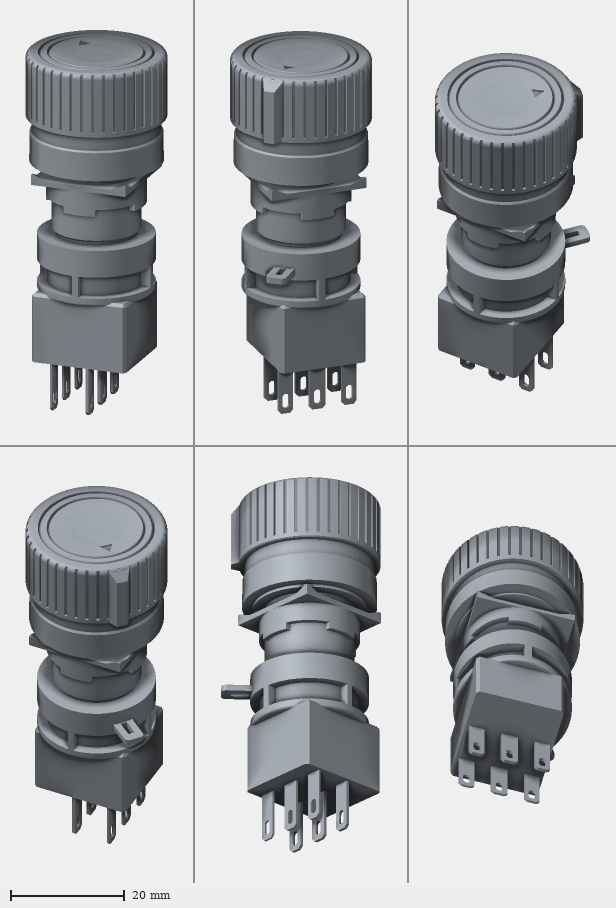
import cadquery as cq


knob_top = 65.0
knob_bottom = 53.1
knob_diameter = 25.0
knob_radius = knob_diameter / 2
knob_top_fillet = 1.05
knob_bottom_chamfer = 0.2
flute_count = 40
flute_width = 0.5
flute_depth = 0.45
flute_bottom = 54.1

outer_ring_radius = 10.35
outer_ring_width = 0.6
outer_ring_floor_radius = 10.15
outer_ring_depth = 0.5
inner_ring_radius = 8.8
inner_ring_width = 0.6
inner_ring_floor_radius = 8.5
inner_ring_depth = 0.45
dish_depth = 0.4

pointer_angle = 135.0
pointer_reach = 13.85
pointer_tip_half_width = 1.0
pointer_root = 12.1
pointer_root_half_width = 1.95
pointer_root_top = 64.7
pointer_tip_top = 63.05
arrow_tip = 7.1
arrow_base = 5.0
arrow_half_width = 1.2
arrow_depth = 0.1

bezel_neck_radius = 11.45
bezel_top = 50.5
bezel_chamfer_height = 0.3
bezel_top_radius = 11.6
bezel_upper_radius = 11.8
bezel_lower_radius = 11.9
bezel_bottom = 45.0
gasket_radius = 10.1
gasket_bottom = 44.45
barrel_radius = 7.9
barrel_bottom = 32.1
barrel_chamfer = 0.4
neck_radius = 7.35

ring_side = 17.8
ring_plate_top = 42.9
ring_corner_top = 43.9
ring_plate_bottom = 41.9
ring_sleeve_bottom = 38.55
ring_tab_bottom = 37.3
ring_tab_width = 5.9
ring_dish_floor_radius = 10.7
ring_dish_rim_radius = 12.2

housing_radius = 10.45
housing_top = 31.45
housing_bottom = 21.0
housing_fillet = 0.5
window_top = 26.5
window_bottom = 22.55
window_floor_radius = 8.7
x_post_width = 1.3
y_post_width = 1.1

lug_angle = 141.0
lug_top = 28.7
lug_bottom = 27.6
lug_reach = 15.6
lug_width = 3.65
lug_offset = 0.25
lug_corner = 0.85
lug_slot_length = 3.25
lug_slot_width = 1.2
lug_slot_end = 13.9

case_length = 17.8
case_width = 16.0
case_center_y = -1.0
case_top = 21.7
case_bottom = 9.0
case_chamfer = 0.5

terminal_pitch = 6.0
terminal_center_y = -1.0
front_row_x = -5.3
front_row_thickness = 0.4
rear_row_x = 1.4
rear_row_thickness = 0.6
outer_terminal_width = 2.8
middle_terminal_width = 3.05
terminal_corner = 0.6
eyelet_width = 1.25
eyelet_height = 2.65
eyelet_center_z = 2.35


def disc(radius, bottom, top):
    """Solid cylinder on the switch axis."""
    return cq.Workplane("XY").workplane(offset=bottom).circle(radius).extrude(top - bottom)


def turned(profile):
    """Revolve a closed (radius, z) outline about the switch axis."""
    return cq.Workplane("XZ").polyline(profile).close().revolve(360, (0, 0), (0, 1))


def plate(points, bottom, top):
    """Flat plate with the given XY outline."""
    return cq.Workplane("XY").workplane(offset=bottom).polyline(points).close().extrude(top - bottom)


def about_axis(shape, angle):
    return shape.rotate((0, 0, 0), (0, 0, 1), angle)


def make_knob():
    knob = disc(knob_radius, knob_bottom, knob_top)
    knob = knob.faces(">Z").edges().fillet(knob_top_fillet)
    knob = knob.faces("<Z").edges().chamfer(knob_bottom_chamfer)
    return knob.cut(make_flutes()).union(make_pointer()).cut(make_top_recesses())


def make_flutes():
    """Cutters for the flutes, which reach past the rim by a margin."""
    depth_margin = 0.65
    return (
        cq.Workplane("XY")
        .workplane(offset=flute_bottom)
        .polarArray(knob_radius - flute_depth + depth_margin, 0, 360, flute_count)
        .rect(2 * depth_margin, flute_width)
        .extrude(knob_top - flute_bottom)
    )


def make_pointer():
    """Wedge on the rim of the knob whose top slopes down to its tip."""
    bottom = knob_bottom + knob_bottom_chamfer
    inner = outer_ring_radius + outer_ring_width
    outline = [
        (inner, -pointer_root_half_width),
        (pointer_root, -pointer_root_half_width),
        (pointer_reach, -pointer_tip_half_width),
        (pointer_reach, pointer_tip_half_width),
        (pointer_root, pointer_root_half_width),
        (inner, pointer_root_half_width),
    ]
    side = [
        (inner, bottom),
        (pointer_reach, bottom),
        (pointer_reach, pointer_tip_top),
        (pointer_root, pointer_root_top),
        (inner, pointer_root_top),
    ]
    side_profile = (
        cq.Workplane("XZ").polyline(side).close().extrude(pointer_root_half_width, both=True)
    )
    return about_axis(plate(outline, bottom, pointer_root_top).intersect(side_profile), pointer_angle)


def make_ring_groove(outer_radius, floor_radius, width, depth):
    """V-shaped ring groove in the top of the knob."""
    return turned([
        (outer_radius, knob_top),
        (floor_radius, knob_top - depth),
        (outer_radius - width, knob_top),
    ])


def make_top_recesses():
    """Cutters for the shallow spherical dish, the arrow mark and the two ring grooves."""
    dish_radius = inner_ring_radius - inner_ring_width
    dish_sphere_radius = (dish_radius**2 + dish_depth**2) / (2 * dish_depth)
    dish = cq.Workplane("XY").sphere(dish_sphere_radius)
    dish = dish.translate((0, 0, knob_top - dish_depth + dish_sphere_radius))
    arrow = plate(
        [(arrow_tip, 0), (arrow_base, arrow_half_width), (arrow_base, -arrow_half_width)],
        knob_top - dish_depth - arrow_depth,
        knob_top,
    )
    outer_groove = make_ring_groove(
        outer_ring_radius, outer_ring_floor_radius, outer_ring_width, outer_ring_depth
    )
    inner_groove = make_ring_groove(
        inner_ring_radius, inner_ring_floor_radius, inner_ring_width, inner_ring_depth
    )
    return dish.union(about_axis(arrow, pointer_angle)).union(outer_groove).union(inner_groove)


def make_stem():
    """Everything below the knob, turned in one piece down to the contact block."""
    return turned([
        (0, knob_bottom),
        (bezel_neck_radius, knob_bottom),
        (bezel_neck_radius, bezel_top),
        (bezel_top_radius, bezel_top),
        (bezel_upper_radius, bezel_top - bezel_chamfer_height),
        (bezel_lower_radius, bezel_bottom),
        (gasket_radius, bezel_bottom),
        (gasket_radius, gasket_bottom),
        (barrel_radius, gasket_bottom),
        (barrel_radius, barrel_bottom + barrel_chamfer),
        (barrel_radius - barrel_chamfer, barrel_bottom),
        (neck_radius, barrel_bottom),
        (neck_radius, housing_top),
        (0, housing_top),
    ])


def make_locking_ring():
    """Square plate with raised corners on a round sleeve that ends in four tabs."""
    sleeve_radius = ring_side / 2
    square = (
        cq.Workplane("XY")
        .workplane(offset=ring_plate_bottom)
        .rect(ring_side, ring_side)
        .extrude(ring_corner_top - ring_plate_bottom)
    )
    corner_dish = turned([
        (0, ring_plate_top),
        (ring_dish_floor_radius, ring_plate_top),
        (ring_dish_rim_radius, ring_corner_top),
        (0, ring_corner_top),
    ])
    sleeve = disc(sleeve_radius, ring_sleeve_bottom, ring_plate_bottom)
    tab_cross = (
        cq.Workplane("XY")
        .workplane(offset=ring_tab_bottom)
        .rect(ring_side, ring_tab_width)
        .extrude(ring_sleeve_bottom - ring_tab_bottom)
    )
    tab_cross = tab_cross.union(about_axis(tab_cross, 90))
    tabs = disc(sleeve_radius, ring_tab_bottom, ring_sleeve_bottom).intersect(tab_cross)
    bore = disc(barrel_radius, ring_tab_bottom, ring_corner_top)
    return square.cut(corner_dish).union(sleeve).union(tabs).cut(bore)


def make_housing():
    """Round housing with four windows between four posts."""
    housing = disc(housing_radius, housing_bottom, housing_top)
    housing = housing.faces("<Z").edges().fillet(housing_fillet)
    window_height = window_top - window_bottom
    window_band = disc(housing_radius, window_bottom, window_top)
    window_band = window_band.cut(disc(window_floor_radius, window_bottom, window_top))
    posts = (
        cq.Workplane("XY")
        .workplane(offset=window_bottom)
        .rect(2 * housing_radius, x_post_width)
        .extrude(window_height)
        .union(
            cq.Workplane("XY")
            .workplane(offset=window_bottom)
            .rect(y_post_width, 2 * housing_radius)
            .extrude(window_height)
        )
    )
    return housing.cut(window_band.cut(posts))


def make_lug():
    """Slotted lug that leaves the side of the housing."""
    root = window_floor_radius
    lug = (
        cq.Workplane("XY")
        .box(lug_reach - root, lug_width, lug_top - lug_bottom, centered=(False, True, False))
        .edges("|Z and >X")
        .fillet(lug_corner)
        .translate((root, 0, 0))
    )
    slot = (
        cq.Workplane("XY")
        .center(lug_slot_end - lug_slot_length / 2, 0)
        .rect(lug_slot_length, lug_slot_width)
        .extrude(lug_top - lug_bottom)
    )
    return about_axis(lug.cut(slot).translate((0, lug_offset, lug_bottom)), lug_angle)


def make_case():
    case = (
        cq.Workplane("XY")
        .workplane(offset=case_bottom)
        .center(0, case_center_y)
        .rect(case_length, case_width)
        .extrude(case_top - case_bottom)
    )
    return case.edges("|Z or >Z").chamfer(case_chamfer)


def make_terminal(x, y, thickness, width):
    """Flat blade with clipped tip corners and an eyelet slot."""
    blade = (
        cq.Workplane("XY")
        .rect(thickness, width)
        .extrude(case_bottom)
        .edges("|X and <Z")
        .chamfer(terminal_corner)
    )
    eyelet = (
        cq.Workplane("YZ")
        .center(0, eyelet_center_z)
        .slot2D(eyelet_height, eyelet_width, 90)
        .extrude(thickness, both=True)
    )
    return blade.cut(eyelet).translate((x, y, 0))


def make_contact_block():
    block = make_housing().union(make_lug()).union(make_case())
    for x, thickness in ((front_row_x, front_row_thickness), (rear_row_x, rear_row_thickness)):
        for place in (-1, 0, 1):
            width = middle_terminal_width if place == 0 else outer_terminal_width
            y = terminal_center_y + place * terminal_pitch
            block = block.union(make_terminal(x, y, thickness, width))
    return block


operator = make_knob().union(make_stem())
locking_ring = make_locking_ring()
contact_block = make_contact_block()

result = cq.Compound.makeCompound([
    operator.solids().val(),
    locking_ring.solids().val(),
    contact_block.solids().val(),
])